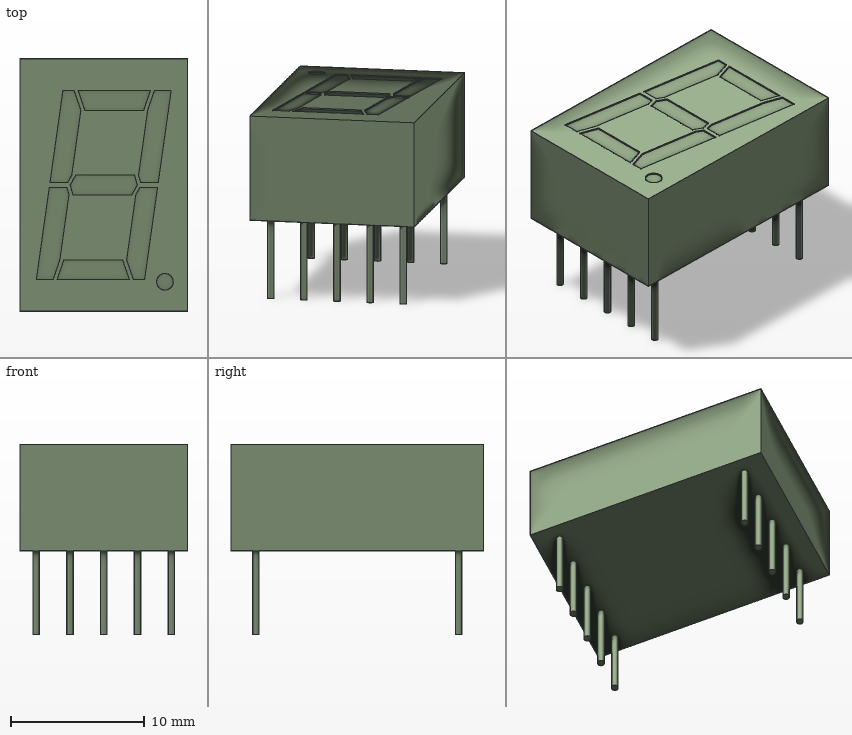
import cadquery as cq
import math

BODY_X = 12.6
BODY_Y = 19.0
BODY_Z = 8.0

PIN_DIAMETER = 0.5
PIN_LENGTH = 6.3
PIN_PITCH = 2.54
PINS_PER_ROW = 5
ROW_SPACING = 6 * PIN_PITCH

RECESS_DEPTH = 0.1
SLANT = math.tan(math.radians(8))
DIGIT_HEIGHT = 14.2
DIGIT_WIDTH = 8.14
BAR_HEIGHT = 1.48
WINDOW_WIDTH = 5.02
SEGMENT_GAP = 0.35
MITRE_GAP = 0.3
CORNER_MITRE_SLOPE = 0.34
MIDDLE_MITRE_SLOPE = 0.42

DOT_DIAMETER = 1.25
DOT_X = 4.6
DOT_Y = -7.27

TOP_Y = DIGIT_HEIGHT / 2
BAR_INNER_Y = TOP_Y - BAR_HEIGHT
MIDDLE_BAR_Y = BAR_HEIGHT / 2
SEGMENT_END_Y = SEGMENT_GAP / 2
OUTER_X = DIGIT_WIDTH / 2
INNER_X = WINDOW_WIDTH / 2
CORNER_RUN = CORNER_MITRE_SLOPE * BAR_HEIGHT


def lean(x, y):
    """Move a point of the upright digit to its place in the leaning digit."""
    return (x + y * SLANT, y)


def half_turn(points):
    """Turn an outline by 180 degrees about the digit centre."""
    return [(-x, -y) for x, y in points]


def upper_side_segment(side):
    """Upper vertical segment: side is -1 for the left one and +1 for the right one."""
    chamfer_run = MIDDLE_MITRE_SLOPE * (MIDDLE_BAR_Y - SEGMENT_END_Y)
    inner_corner_x, _ = lean(side * INNER_X, BAR_INNER_Y)
    return [
        lean(side * OUTER_X, TOP_Y),
        lean(side * OUTER_X, SEGMENT_END_Y),
        lean(side * (INNER_X + chamfer_run), SEGMENT_END_Y),
        lean(side * INNER_X, MIDDLE_BAR_Y),
        (inner_corner_x, BAR_INNER_Y),
        (inner_corner_x + side * CORNER_RUN, TOP_Y),
    ]


def top_bar():
    """Trapezoid whose ends run parallel to the mitres of the vertical segments."""
    left_x, _ = lean(-INNER_X, BAR_INNER_Y)
    right_x, _ = lean(INNER_X, BAR_INNER_Y)
    left_x += MITRE_GAP
    right_x -= MITRE_GAP
    return [
        (left_x, BAR_INNER_Y),
        (right_x, BAR_INNER_Y),
        (right_x + CORNER_RUN, TOP_Y),
        (left_x - CORNER_RUN, TOP_Y),
    ]


def middle_bar():
    """Hexagon with pointed ends on the digit's mid line."""
    corner_x = INNER_X - MITRE_GAP
    tip_x = corner_x + MIDDLE_MITRE_SLOPE * MIDDLE_BAR_Y
    upper_half = [
        lean(tip_x, 0),
        lean(corner_x, MIDDLE_BAR_Y),
        lean(-corner_x, MIDDLE_BAR_Y),
    ]
    return upper_half + half_turn(upper_half)


def make_body():
    return cq.Workplane("XY").box(BODY_X, BODY_Y, BODY_Z, centered=(True, True, False))


def make_pins():
    return (
        cq.Workplane("XY")
        .rarray(PIN_PITCH, ROW_SPACING, PINS_PER_ROW, 2)
        .circle(PIN_DIAMETER / 2)
        .extrude(-PIN_LENGTH)
    )


def recess_floor():
    return cq.Workplane("XY").workplane(offset=BODY_Z - RECESS_DEPTH)


def cut_segments(body):
    """Sink the seven segments; the lower half is the upper half turned by 180 degrees."""
    upper_outlines = [upper_side_segment(-1), upper_side_segment(1), top_bar()]
    lower_outlines = [half_turn(outline) for outline in upper_outlines]
    for outline in upper_outlines + [middle_bar()] + lower_outlines:
        body = body.cut(recess_floor().polyline(outline).close().extrude(RECESS_DEPTH))
    return body


def cut_decimal_point(body):
    dot = recess_floor().center(DOT_X, DOT_Y).circle(DOT_DIAMETER / 2).extrude(RECESS_DEPTH)
    return body.cut(dot)


result = make_body().union(make_pins())
result = cut_segments(result)
result = cut_decimal_point(result)